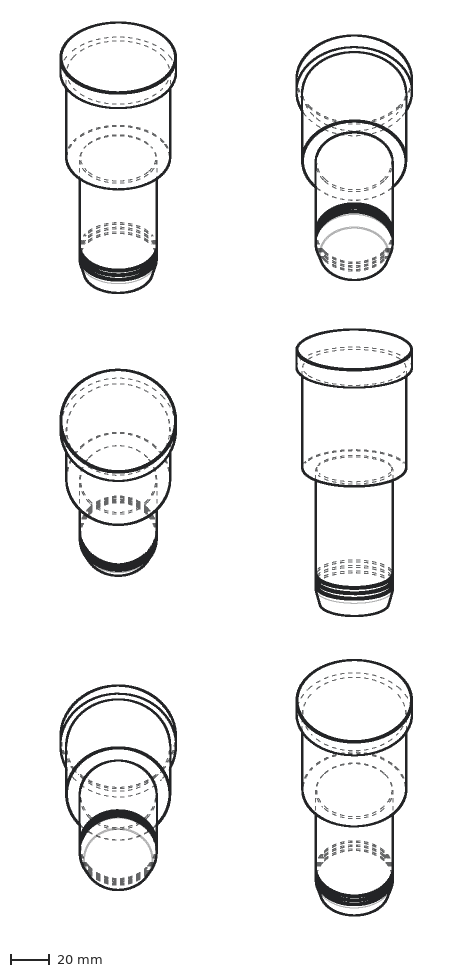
import cadquery as cq
import math

total_height = 141.0
head_height = 10.0
shank_length = 75.0

head_radius = 30.0
collar_radius = 27.0
shank_radius = 20.0

head_chamfer = 0.5
collar_chamfer = 0.4
tip_fillet = 0.5

shank_relief_depth = 0.5
collar_relief_depth = 0.3
relief_height = 1.0

taper_height = 8.0
taper_angle = math.radians(15)

groove_count = 3
groove_pitch = 3.0
groove_width = 1.0
groove_depth = groove_width / 2
lowest_groove_z = 10.0


def stepped_body():
    """Revolved head, collar and shank with their chamfers and reliefs."""
    head_bottom = total_height - head_height
    tip_radius = shank_radius - taper_height * math.tan(taper_angle)
    outline = [
        (0, 0),
        (tip_radius, 0),
        (shank_radius, taper_height),
        (shank_radius, shank_length - relief_height),
        (shank_radius - shank_relief_depth, shank_length),
        (collar_radius - collar_chamfer, shank_length),
        (collar_radius, shank_length + collar_chamfer),
        (collar_radius, head_bottom - relief_height),
        (collar_radius - collar_relief_depth, head_bottom),
        (head_radius, head_bottom),
        (head_radius, total_height - head_chamfer),
        (head_radius - head_chamfer, total_height),
        (0, total_height),
    ]
    return cq.Workplane("XZ").polyline(outline).close().revolve(360, (0, 0), (0, 1))


def groove_ring(bottom_z):
    """Ring with a round-bottomed section removed by one groove."""
    section = (
        cq.Workplane("XZ")
        .moveTo(shank_radius, bottom_z)
        .threePointArc(
            (shank_radius - groove_depth, bottom_z + groove_width / 2),
            (shank_radius, bottom_z + groove_width),
        )
        .close()
    )
    return section.revolve(360, (0, 0), (0, 1))


def rounded_tip(body):
    """Body with the bottom edge of the shank rounded."""
    return body.faces("<Z").edges().fillet(tip_fillet)


result = rounded_tip(stepped_body())
for index in range(groove_count):
    result = result.cut(groove_ring(lowest_groove_z + index * groove_pitch))